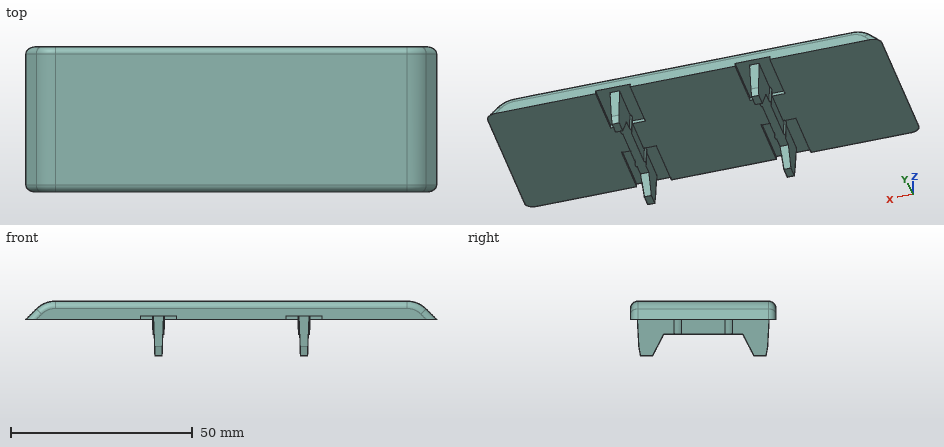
import cadquery as cq
import math

LENGTH = 113.1
WIDTH = 40.0
PLATE_HEIGHT = 5.1
END_ROUND = 7.4
EDGE_ROUND = 2.0

LEG_SPACING = 40.0
LEG_DROP = 10.0
TIP_CHAMFER_HEIGHT = 2.5
BRIDGE_DROP = 4.1
LEG_TOP_HALF_WIDTH = 18.2
LEG_LOW_HALF_WIDTH = 17.8
TIP_OUTER = 17.3
TIP_INNER = 13.9
BRIDGE_HALF_WIDTH = 10.9
LEG_TOP_THICKNESS = 2.7
LEG_TIP_THICKNESS = 2.0

RIB_RADIUS = 1.7
RIB_OFFSET = 7.0

RECESS_LENGTH = 10.0
RECESS_HEIGHT = 1.0
RECESS_INNER_Y = RIB_OFFSET - RIB_RADIUS
RECESS_DEPTH = WIDTH / 2 - RECESS_INNER_Y


def make_plate():
    """Slab with 45 degree ends and rounded top and end edges on both long sides."""
    half = LENGTH / 2
    top_end = half - PLATE_HEIGHT
    blank = (
        cq.Workplane("XZ")
        .polyline([(-half, 0), (half, 0), (top_end, PLATE_HEIGHT), (-top_end, PLATE_HEIGHT)])
        .close()
        .extrude(WIDTH / 2, both=True)
    )
    rounded = blank.edges("|Y and >Z").fillet(END_ROUND)
    long_sides = rounded.faces("<Y or >Y").edges("not <Z")
    return rounded.newObject(long_sides.vals()).fillet(EDGE_ROUND)


def make_leg():
    """Two-pronged leg, thinner towards its tips, with two tapered round ribs."""
    right_half = [
        (LEG_TOP_HALF_WIDTH, RECESS_HEIGHT),
        (LEG_LOW_HALF_WIDTH, TIP_CHAMFER_HEIGHT - LEG_DROP),
        (TIP_OUTER, -LEG_DROP),
        (TIP_INNER, -LEG_DROP),
        (BRIDGE_HALF_WIDTH, -BRIDGE_DROP),
    ]
    left_half = [(-y, z) for y, z in reversed(right_half)]
    prongs = (
        cq.Workplane("YZ")
        .polyline(right_half + left_half)
        .close()
        .extrude(LEG_TOP_THICKNESS, both=True)
    )
    top = LEG_TOP_THICKNESS / 2
    tip = LEG_TIP_THICKNESS / 2
    wedge = (
        cq.Workplane("XZ")
        .polyline([(-top, RECESS_HEIGHT), (top, RECESS_HEIGHT), (tip, -LEG_DROP), (-tip, -LEG_DROP)])
        .close()
        .extrude(WIDTH / 2, both=True)
    )
    taper = math.degrees(math.atan2(top - tip, LEG_DROP + RECESS_HEIGHT))
    ribs = (
        cq.Workplane("XY", origin=(0, 0, RECESS_HEIGHT))
        .pushPoints([(0, -RIB_OFFSET), (0, RIB_OFFSET)])
        .circle(RIB_RADIUS)
        .extrude(-BRIDGE_DROP - RECESS_HEIGHT, taper=taper)
    )
    return prongs.intersect(wedge).union(ribs)


def make_recesses():
    """Shallow cuts into the underside from both long sides, centred on X = 0."""
    centre_y = (WIDTH - RECESS_DEPTH) / 2
    return (
        cq.Workplane("XY")
        .pushPoints([(0, -centre_y), (0, centre_y)])
        .rect(RECESS_LENGTH, RECESS_DEPTH)
        .extrude(RECESS_HEIGHT)
    )


result = make_plate()
for leg_x in (-LEG_SPACING / 2, LEG_SPACING / 2):
    result = result.cut(make_recesses().translate((leg_x, 0, 0)))
    result = result.union(make_leg().translate((leg_x, 0, 0)))